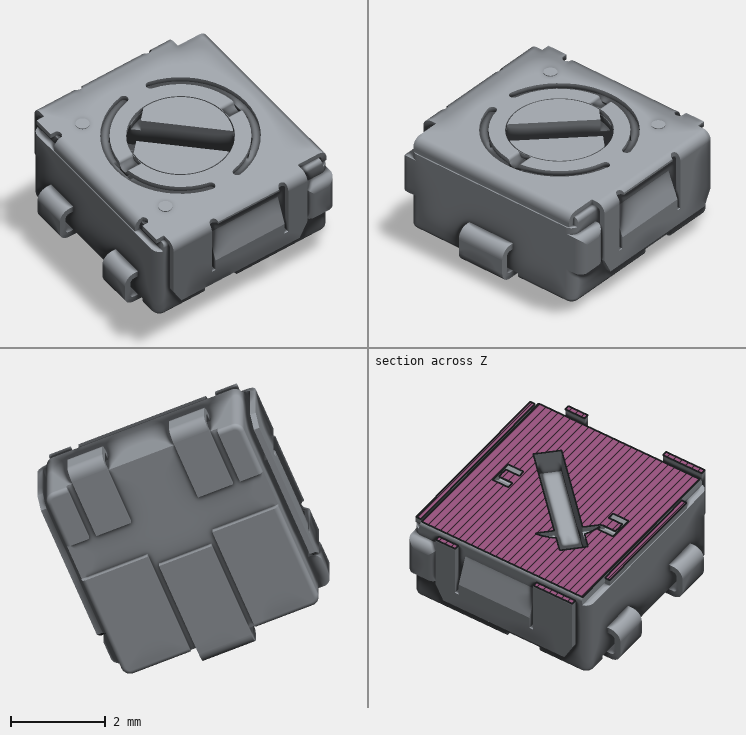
import cadquery as cq
import math


HOUSING_SIDE = 4.5
HOUSING_HALF = HOUSING_SIDE / 2
HOUSING_TOP = 2.15
CORNER_RADIUS = 0.2
EDGE_RADIUS = 0.1
LEDGE_Z = 1.95
LEDGE_DEPTH = 0.155
LEDGE_DRAFT = 0.03

SHOULDER_Z = 0.86

COVER_SIDE = 5.0
COVER_TOP = 2.3
SHEET = 0.125
COVER_HALF = COVER_SIDE / 2
COVER_UNDERSIDE = COVER_TOP - SHEET
BEND_RADIUS = 0.21
PLATE_HALF_X = 2.15
PLATE_FRONT_Y = 2.2
FLAP_BOTTOM = 1.98
FRONT_FLAP_WIDTH = 2.9
RELIEF_RADIUS = 0.1

WALL_BACK_Y = 1.5
WALL_FRONT_Y = -2.0
WALL_BOTTOM = 0.48
WALL_CHAMFER_Y = 0.2
WINDOW_WIDTH = 2.0
WINDOW_LIP = 0.05

CATCH_WIDTH = 1.81
CATCH_TOP = 1.78
CATCH_RAMP_BOTTOM = 1.15
GUARD_RADIUS = 0.19

HOLE_DIAMETER = 2.3
ARC_SLOT_INNER = 1.5
ARC_SLOT_OUTER = 1.7
ARC_SLOT_END_Y = 0.35
GROOVE_RADIUS = 0.135
GROOVE_LIP_RADIUS = 0.07
GROOVE_WIDTH = 0.4
NOTCH_WIDTH = 0.61
NOTCH_FLOOR_WIDTH = 0.1
NOTCH_DEPTH = 0.2
NOTCH_OUTER_Y = 1.54

ROTOR_DIAMETER = 2.25
ROTOR_ANGLE = 45
SLOT_WIDTH = 0.6
SLOT_FLOOR = 1.54
SLOT_HALF_LENGTH = 1.5
FLAT_DISTANCE = 0.9
FLAT_FLOOR = 2.0

PIN_DIAMETER = 0.3
PIN_X = 1.49
PIN_Y = -1.48
PIN_TOP = 2.32

TERMINAL_SPAN = 5.2
TERMINAL_HALF = TERMINAL_SPAN / 2
TERMINAL_THICKNESS = 0.15
TERMINAL_RADIUS = 0.25
FRONT_TERMINAL_WIDTH = 0.8
FRONT_TERMINAL_X = 1.165
BACK_TERMINAL_WIDTH = 1.2

RECESS_DEPTH = 0.155
FRONT_RECESS_WIDTH = 3.45
BACK_RECESS_WIDTH = 1.48
CHANNEL_FRONT_Y = -1.0
CHANNEL_BACK_Y = -0.145


def block(x_range, y_range, z_range):
    """Box spanning the given (low, high) ranges."""
    low, high = zip(x_range, y_range, z_range)
    sizes = [b - a for a, b in zip(low, high)]
    return cq.Workplane("XY").box(*sizes, centered=False).translate(low)


def cylinder(diameter, x, y, bottom, top):
    """Upright cylinder."""
    return cq.Workplane("XY", origin=(x, y, bottom)).circle(diameter / 2).extrude(top - bottom)


def both_sides(shape):
    """The shape together with its mirror image across X = 0."""
    return shape.union(shape.mirror("YZ"))


def make_housing():
    """Rounded block whose top narrows to a drafted step along the front and back."""
    base = cq.Workplane("XY").rect(HOUSING_SIDE, HOUSING_SIDE).extrude(LEDGE_Z)
    base = base.edges("|Z").fillet(CORNER_RADIUS)
    base = base.faces("<Z").edges().fillet(EDGE_RADIUS)
    step_bottom = HOUSING_HALF - LEDGE_DEPTH
    step_top = step_bottom - LEDGE_DRAFT
    step = (
        cq.Workplane("YZ", origin=(-HOUSING_HALF, 0, 0))
        .moveTo(-step_bottom, LEDGE_Z)
        .lineTo(step_bottom, LEDGE_Z)
        .lineTo(step_top, HOUSING_TOP)
        .lineTo(-step_top, HOUSING_TOP)
        .close()
        .extrude(HOUSING_SIDE)
    )
    step = step.faces(">Z").edges("|Y").fillet(EDGE_RADIUS)
    rounded_plan = (
        cq.Workplane("XY").rect(HOUSING_SIDE, HOUSING_SIDE).extrude(HOUSING_TOP)
        .edges("|Z").fillet(CORNER_RADIUS)
    )
    return base.union(step.intersect(rounded_plan))


def make_catch():
    """Wedge on the -X side that snaps into the cover window."""
    return (
        cq.Workplane("XZ", origin=(0, CATCH_WIDTH / 2, 0))
        .moveTo(-PLATE_HALF_X, SHOULDER_Z)
        .lineTo(-COVER_HALF, SHOULDER_Z)
        .lineTo(-COVER_HALF, CATCH_RAMP_BOTTOM)
        .lineTo(-HOUSING_HALF, CATCH_TOP)
        .lineTo(-PLATE_HALF_X, CATCH_TOP)
        .close()
        .extrude(CATCH_WIDTH)
    )


def make_guard():
    """Rounded lug on the -X side between the cover wall and the back corner."""
    guard = block(
        (-COVER_HALF, -HOUSING_HALF + CORNER_RADIUS),
        (WALL_BACK_Y, HOUSING_HALF),
        (SHOULDER_Z, CATCH_TOP),
    )
    return guard.edges("(<X and |Z) or (<X and >Z)").fillet(GUARD_RADIUS)


def underside_recesses():
    """T-shaped terminal recess and the cross channel in the underside."""
    depth = (0, RECESS_DEPTH)
    front_half = FRONT_RECESS_WIDTH / 2
    back_half = BACK_RECESS_WIDTH / 2
    front = block((-front_half, front_half), (-HOUSING_HALF, CHANNEL_FRONT_Y), depth)
    channel = block((-HOUSING_HALF, HOUSING_HALF), (CHANNEL_FRONT_Y, CHANNEL_BACK_Y), depth)
    back = block((-back_half, back_half), (CHANNEL_BACK_Y, HOUSING_HALF), depth)
    return front.union(channel).union(back)


def make_terminal(width, x, foot_end):
    """C-shaped strip at the -Y side, its upper end held in the housing and its foot below."""
    upper_end = -HOUSING_HALF + CORNER_RADIUS
    outer = block((x - width / 2, x + width / 2), (-TERMINAL_HALF, foot_end), (0, SHOULDER_Z))
    outer = outer.edges("<Y and |X").fillet(TERMINAL_RADIUS)
    inside = block(
        (x - width / 2, x + width / 2),
        (-TERMINAL_HALF + TERMINAL_THICKNESS, foot_end),
        (TERMINAL_THICKNESS, SHOULDER_Z - TERMINAL_THICKNESS),
    )
    inside = inside.edges("<Y and |X").fillet(TERMINAL_RADIUS - TERMINAL_THICKNESS)
    overhang = block(
        (x - width / 2, x + width / 2),
        (upper_end, foot_end),
        (TERMINAL_THICKNESS, SHOULDER_Z),
    )
    return outer.cut(inside).cut(overhang)


def bent_strip(reach, edge, wall_bottom, width):
    """Sheet running along +X from `edge` to `reach`, then bent down; centred on Y = 0."""
    outer = block((0, reach), (-width / 2, width / 2), (wall_bottom, COVER_TOP))
    outer = outer.edges(">X and >Z").fillet(BEND_RADIUS)
    inside = block((0, reach - SHEET), (-width / 2, width / 2), (wall_bottom, COVER_UNDERSIDE))
    inside = inside.edges(">X and >Z").fillet(BEND_RADIUS - SHEET)
    strip = outer.cut(inside)
    return strip.intersect(block((edge, reach), (-width / 2, width / 2), (wall_bottom, COVER_TOP)))


def side_wall():
    """Cover wall on the +X side with chamfered lower corners and a window for the catch."""
    width = WALL_BACK_Y - WALL_FRONT_Y
    middle = (WALL_BACK_Y + WALL_FRONT_Y) / 2
    wall = bent_strip(COVER_HALF, PLATE_HALF_X, WALL_BOTTOM, width).translate((0, middle, 0))
    outline = (
        cq.Workplane("YZ")
        .moveTo(WALL_FRONT_Y, COVER_TOP)
        .lineTo(WALL_FRONT_Y, SHOULDER_Z)
        .lineTo(WALL_FRONT_Y + WALL_CHAMFER_Y, WALL_BOTTOM)
        .lineTo(WALL_BACK_Y - WALL_CHAMFER_Y, WALL_BOTTOM)
        .lineTo(WALL_BACK_Y, SHOULDER_Z)
        .lineTo(WALL_BACK_Y, COVER_TOP)
        .close()
        .extrude(COVER_HALF)
    )
    half_window = WINDOW_WIDTH / 2
    lip_x = COVER_HALF - WINDOW_LIP
    across = (-half_window, half_window)
    wall = wall.intersect(outline)
    wall = wall.cut(block((PLATE_HALF_X, COVER_HALF), across, (SHOULDER_Z, COVER_UNDERSIDE)))
    wall = wall.cut(block((lip_x, COVER_HALF), across, (SHOULDER_Z, COVER_TOP)))
    for sign in (-1, 1):
        y = sign * (half_window - RELIEF_RADIUS)
        wall = wall.cut(cylinder(2 * RELIEF_RADIUS, lip_x, y, COVER_UNDERSIDE - SHEET, COVER_TOP))
    return wall


def arc_slot():
    """Curved slot with round ends on the +Y side of the spring ring."""
    middle_radius = (ARC_SLOT_INNER + ARC_SLOT_OUTER) / 2
    slot_width = ARC_SLOT_OUTER - ARC_SLOT_INNER
    end_angle = math.asin(ARC_SLOT_END_Y / middle_radius)
    end_x = middle_radius * math.cos(end_angle)
    ring = cylinder(2 * ARC_SLOT_OUTER, 0, 0, COVER_UNDERSIDE, COVER_TOP)
    ring = ring.cut(cylinder(2 * ARC_SLOT_INNER, 0, 0, COVER_UNDERSIDE, COVER_TOP))
    far = 2 * COVER_SIDE
    sector = (
        cq.Workplane("XY", origin=(0, 0, COVER_UNDERSIDE))
        .polyline([
            (0, 0),
            (far * math.cos(end_angle), far * math.sin(end_angle)),
            (0, 2 * far),
            (-far * math.cos(end_angle), far * math.sin(end_angle)),
        ])
        .close()
        .extrude(SHEET)
    )
    slot = ring.intersect(sector)
    for x in (-end_x, end_x):
        slot = slot.union(cylinder(slot_width, x, ARC_SLOT_END_Y, COVER_UNDERSIDE, COVER_TOP))
    return slot


def make_cover():
    """Cover plate with its bent flaps, side walls, rotor hole and spring ring."""
    sheet_z = (COVER_UNDERSIDE, COVER_TOP)
    bend_start = HOUSING_HALF - BEND_RADIUS
    plate = block((-PLATE_HALF_X, PLATE_HALF_X), (-PLATE_FRONT_Y, bend_start), sheet_z)

    flap_half = FRONT_FLAP_WIDTH / 2
    relief_x = flap_half + RELIEF_RADIUS
    relief_y = WALL_FRONT_Y - RELIEF_RADIUS
    plate = plate.cut(block((-relief_x, relief_x), (-PLATE_FRONT_Y, -bend_start), sheet_z))
    for x in (-relief_x, relief_x):
        plate = plate.cut(cylinder(2 * RELIEF_RADIUS, x, relief_y, *sheet_z))
        slit = block((x - RELIEF_RADIUS, x + RELIEF_RADIUS), (-PLATE_FRONT_Y, relief_y), sheet_z)
        plate = plate.cut(slit)

    front_flap = bent_strip(HOUSING_HALF, bend_start, FLAP_BOTTOM, FRONT_FLAP_WIDTH)
    back_flap = bent_strip(HOUSING_HALF, bend_start, FLAP_BOTTOM, 2 * PLATE_HALF_X)
    cover = plate.union(front_flap.rotate((0, 0, 0), (0, 0, 1), -90))
    cover = cover.union(back_flap.rotate((0, 0, 0), (0, 0, 1), 90))
    cover = cover.union(both_sides(side_wall()))

    cover = cover.cut(cylinder(HOLE_DIAMETER, 0, 0, *sheet_z))
    slot = arc_slot()
    return cover.cut(slot).cut(slot.mirror("XZ"))


def ring_groove(surface_z):
    """Rounded groove below `surface_z` on the +Y side, its edges blending into the sheet."""
    half = GROOVE_WIDTH / 2
    radii = GROOVE_RADIUS + GROOVE_LIP_RADIUS
    flank = math.asin(half / radii)
    depth = radii * (1 - math.cos(flank))
    blend_x = GROOVE_RADIUS * math.sin(flank)
    blend_z = surface_z - GROOVE_LIP_RADIUS * (1 - math.cos(flank))
    lip_x = half - GROOVE_LIP_RADIUS * math.sin(flank / 2)
    lip_z = surface_z - GROOVE_LIP_RADIUS * (1 - math.cos(flank / 2))
    profile = (
        cq.Workplane("XZ", origin=(0, ARC_SLOT_INNER, 0))
        .moveTo(-half, surface_z)
        .threePointArc((-lip_x, lip_z), (-blend_x, blend_z))
        .threePointArc((0, surface_z - depth), (blend_x, blend_z))
        .threePointArc((lip_x, lip_z), (half, surface_z))
        .close()
    )
    groove = profile.extrude(ARC_SLOT_INNER - HOLE_DIAMETER / 2)
    ring = cylinder(2 * ARC_SLOT_INNER, 0, 0, surface_z - depth, surface_z)
    return groove.intersect(ring.cut(cylinder(HOLE_DIAMETER, 0, 0, surface_z - depth, surface_z)))


def detent_notch(inner_y, outer_y):
    """V-shaped notch in the housing below the groove."""
    return (
        cq.Workplane("XZ", origin=(0, outer_y, 0))
        .moveTo(-NOTCH_WIDTH / 2, HOUSING_TOP)
        .lineTo(-NOTCH_FLOOR_WIDTH / 2, HOUSING_TOP - NOTCH_DEPTH)
        .lineTo(NOTCH_FLOOR_WIDTH / 2, HOUSING_TOP - NOTCH_DEPTH)
        .lineTo(NOTCH_WIDTH / 2, HOUSING_TOP)
        .close()
        .extrude(outer_y - inner_y)
    )


def rotor_cuts():
    """Driver slot and pointer flat of the rotor, turned to the rotor angle."""
    radius = HOLE_DIAMETER / 2
    slot = block(
        (-SLOT_HALF_LENGTH, SLOT_HALF_LENGTH),
        (-SLOT_WIDTH / 2, SLOT_WIDTH / 2),
        (SLOT_FLOOR, COVER_UNDERSIDE),
    )
    upper = block((-radius, radius), (-SLOT_WIDTH / 2, SLOT_WIDTH / 2), (SLOT_FLOOR, COVER_TOP))
    flat = block((-radius, -FLAT_DISTANCE), (-radius, radius), (FLAT_FLOOR, COVER_TOP))
    well = cylinder(HOLE_DIAMETER, 0, 0, SLOT_FLOOR, COVER_TOP)
    cuts = slot.union(upper.union(flat).intersect(well))
    return cuts.rotate((0, 0, 0), (0, 0, 1), ROTOR_ANGLE)


housing = make_housing().union(both_sides(make_catch())).union(both_sides(make_guard()))
housing = housing.cut(underside_recesses())
housing = housing.union(cylinder(ROTOR_DIAMETER, 0, 0, LEDGE_Z, COVER_TOP)).cut(rotor_cuts())

groove = ring_groove(COVER_TOP)
bulge = ring_groove(COVER_UNDERSIDE)
notch = detent_notch(HOLE_DIAMETER / 2, NOTCH_OUTER_Y)
housing = housing.cut(notch).cut(notch.mirror("XZ"))
cover = make_cover().union(bulge).union(bulge.mirror("XZ"))
cover = cover.cut(groove).cut(groove.mirror("XZ"))

result = housing.union(cover)
result = result.union(both_sides(cylinder(PIN_DIAMETER, PIN_X, PIN_Y, LEDGE_Z, PIN_TOP)))
front_terminal = make_terminal(FRONT_TERMINAL_WIDTH, FRONT_TERMINAL_X, CHANNEL_FRONT_Y)
result = result.union(both_sides(front_terminal))
back_terminal = make_terminal(BACK_TERMINAL_WIDTH, 0, CHANNEL_BACK_Y).mirror("XZ")
result = result.union(back_terminal)